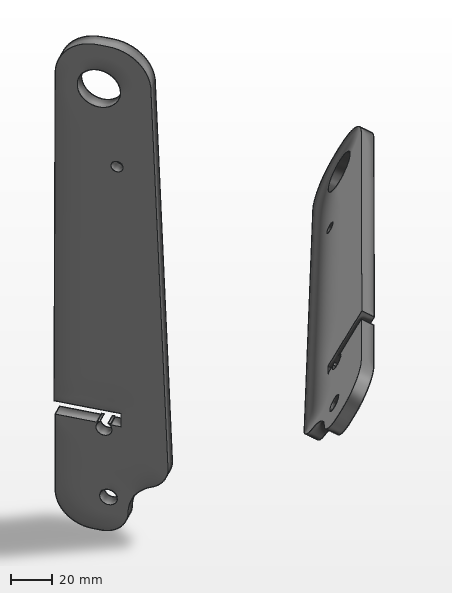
import cadquery as cq
import math

length = 290.0
width = 58.3
thickness = 7.0
side_inset = 0.5

top_left_radius = 21.8
top_right_radius = 21.8
top_right_x = 27.8
top_right_z = length - top_right_radius

shoulder_radius = 13.5
shoulder_x = width - shoulder_radius
shoulder_z = 44.0
hollow_x = 57.0
hollow_z = 13.5

bottom_left_radius = 19.0
bottom_right_radius = hollow_z

slot_top = 72.0
slot_bottom = 64.0
slot_depth = 34.2
notch_x = 25.5
notch_z = 61.2
notch_diameter = 8.0
lip_span = 7.0
lip_height = 0.5

holes = [
    (23.0, 264.0, 22.0),
    (32.2, 219.2, 6.0),
    (27.8, 20.5, 9.0),
]


def on_circle(x, z, radius, angle):
    return (x + radius * math.cos(angle), z + radius * math.sin(angle))


def cylinder(x, z, diameter):
    return cq.Workplane("XZ").center(x, z).circle(diameter / 2).extrude(thickness / 2, both=True)


def make_plate():
    run = shoulder_x - top_right_x
    drop = top_right_z - shoulder_z
    edge_angle = math.atan2(run, drop) + math.asin(
        (top_right_radius - shoulder_radius) / math.hypot(run, drop)
    )
    top_right_mid = (edge_angle + math.pi / 2) / 2

    hollow_dx = hollow_x - shoulder_x
    hollow_dz = hollow_z - shoulder_z
    join_angle = math.atan2(hollow_dz, hollow_dx)
    hollow_radius = math.hypot(hollow_dx, hollow_dz) - shoulder_radius
    shoulder_mid = (edge_angle + join_angle) / 2
    hollow_mid = join_angle / 2 + math.pi

    bottom_right_x = hollow_x - hollow_radius - bottom_right_radius
    bottom_left_x = side_inset + bottom_left_radius
    top_left_x = side_inset + top_left_radius
    top_left_z = length - top_left_radius

    return (
        cq.Workplane("XZ")
        .moveTo(top_left_x, length)
        .lineTo(top_right_x, length)
        .threePointArc(
            on_circle(top_right_x, top_right_z, top_right_radius, top_right_mid),
            on_circle(top_right_x, top_right_z, top_right_radius, edge_angle),
        )
        .lineTo(*on_circle(shoulder_x, shoulder_z, shoulder_radius, edge_angle))
        .threePointArc(
            on_circle(shoulder_x, shoulder_z, shoulder_radius, shoulder_mid),
            on_circle(shoulder_x, shoulder_z, shoulder_radius, join_angle),
        )
        .threePointArc(
            on_circle(hollow_x, hollow_z, hollow_radius, hollow_mid),
            (hollow_x - hollow_radius, hollow_z),
        )
        .threePointArc(
            on_circle(bottom_right_x, hollow_z, bottom_right_radius, -math.pi / 4),
            (bottom_right_x, 0),
        )
        .lineTo(bottom_left_x, 0)
        .threePointArc(
            on_circle(bottom_left_x, bottom_left_radius, bottom_left_radius, -3 * math.pi / 4),
            (side_inset, bottom_left_radius),
        )
        .lineTo(side_inset, slot_bottom)
        .lineTo(slot_depth, slot_bottom)
        .lineTo(slot_depth, slot_top)
        .lineTo(0, slot_top)
        .lineTo(side_inset, top_left_z)
        .threePointArc(
            on_circle(top_left_x, top_left_z, top_left_radius, 3 * math.pi / 4),
            (top_left_x, length),
        )
        .close()
        .extrude(thickness / 2, both=True)
    )


def add_notch(plate):
    lips = (
        cq.Workplane("XZ")
        .center(notch_x, slot_bottom)
        .rect(lip_span, 2 * lip_height)
        .extrude(thickness / 2, both=True)
    )
    return plate.union(lips).cut(cylinder(notch_x, notch_z, notch_diameter))


def cut_holes(plate):
    for x, z, diameter in holes:
        plate = plate.cut(cylinder(x, z, diameter))
    return plate


result = cut_holes(add_notch(make_plate()))